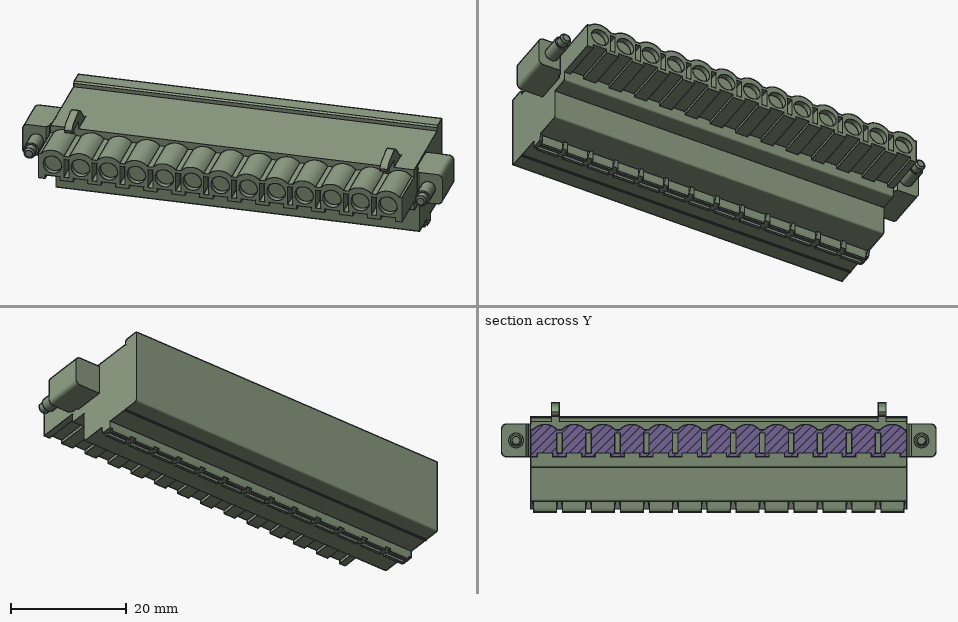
import cadquery as cq
import math

POLES = 13
LENGTH = 75.1
BODY_LENGTH = 65.0
PITCH = BODY_LENGTH / POLES
HALF_BODY = BODY_LENGTH / 2

DEPTH = 26.6
BODY_FRONT = 8.2
STEP_FRONT = 11.6
STEP_HEIGHT = 5.85
BODY_HEIGHT = 13.75
LIP_HEIGHT = 14.65
LIP_DEPTH = 3.15
LIP_BEVEL_RUN = 0.45
LIP_BEVEL_DROP = 0.2
EDGE_FILLET = 0.3

WIRE_AXIS = 10.5
WIRE_HOLE_DIAMETER = 3.3
WIRE_HOLE_DEPTH = 1.05
BARREL_RADIUS = 2.8
BARREL_BOTTOM = 7.65
BARREL_SHOULDER = 12.4
FOOT_NOTCH_WIDTH = 2.6
FOOT_NOTCH_HEIGHT = 0.7
SLOT_WIDTH = 0.9
SLOT_HEIGHT = 3.45
SLOT_DEPTH = 3.0

FLANGE_BACK = 15.9
FLANGE_BOTTOM = 7.65
FLANGE_HEIGHT = 5.7
FLANGE_FILLET = 0.9
RELIEF_WIDTH = 0.4
RELIEF_DEPTH = 1.7
RELIEF_BEVEL_WIDTH = 0.45
RELIEF_BEVEL_DEPTH = 0.7
SCREW_X = (HALF_BODY + LENGTH / 2) / 2
SHANK_DIAMETER = 2.55
SHANK_END = 4.6
TIP_DIAMETER = 1.95
TIP_END = 2.9
TIP_CHAMFER = 0.3

HOOK_X = 28.25
HOOK_WIDTH = 1.35
HOOK_EMBED = 0.4
HOOK_TOP = 17.05
HOOK_UNDERSIDE = 15.1
HOOK_BARB_BOTTOM = 14.65
HOOK_BARB_BACK = 5.1
HOOK_BARB_FRONT = 4.5
HOOK_ROOT = (13.2, BODY_HEIGHT)
HOOK_ROOT_MIDDLE = (12.5, BODY_HEIGHT + 0.19)
HOOK_RAMP_START = (11.9, BODY_HEIGHT + 0.6)
HOOK_RAMP_END = (9.3, 16.75)
HOOK_CREST_MIDDLE = (9.0, 16.9)
HOOK_CREST_BACK = (8.6, HOOK_TOP)
HOOK_CREST_FRONT = (7.9, HOOK_TOP)
HOOK_NOSE_TOP = (4.95, 16.4)
HOOK_NOSE_MIDDLE = (4.35, 16.1)
HOOK_NOSE_FRONT = (3.8, 15.5)
HOOK_NOSE_BOTTOM = (4.0, 14.95)

RAIL_BACK = 19.1
RAIL_FRONT_TOP = 16.6
RAIL_FRONT_BOTTOM = 17.0
RAIL_DROP = 1.35
KEY_WIDTH = 4.0
WEB_CHAMFER = 0.2
TOOTH_DEPTH = 0.7
TOOTH_DROP = 0.6
TOOTH_TAPER = 0.11
TOOTH_POINT = 0.15

RIDGE_Y = 23.35
RIDGE_WIDTH = 0.3
RIDGE_DROP = 0.15


def box(x_min, x_max, y_min, y_max, z_min, z_max):
    return cq.Workplane("XY").box(
        x_max - x_min, y_max - y_min, z_max - z_min, centered=False
    ).translate((x_min, y_min, z_min))


def rod(x, diameter, y_min, y_max):
    """Cylinder along Y at the height of the wire axis."""
    plane = cq.Workplane("XZ", origin=(x, y_max, WIRE_AXIS))
    return plane.circle(diameter / 2).extrude(y_max - y_min)


def side_plane(x):
    """YZ plane whose extrusion runs toward +X, starting at x."""
    return cq.Workplane("YZ", origin=(x, 0, 0))


def pole_x(index):
    return (index - (POLES - 1) / 2) * PITCH


def make_housing():
    lip_front = DEPTH - LIP_DEPTH
    profile = [
        (DEPTH, 0),
        (DEPTH, LIP_HEIGHT),
        (lip_front + LIP_BEVEL_RUN, LIP_HEIGHT),
        (lip_front, LIP_HEIGHT - LIP_BEVEL_DROP),
        (lip_front, BODY_HEIGHT),
        (BODY_FRONT, BODY_HEIGHT),
        (BODY_FRONT, STEP_HEIGHT),
        (STEP_FRONT, STEP_HEIGHT),
        (STEP_FRONT, 0),
    ]
    housing = side_plane(-HALF_BODY).polyline(profile).close().extrude(BODY_LENGTH)
    rounded_corners = [(DEPTH, 0), (BODY_FRONT, STEP_HEIGHT), (STEP_FRONT, 0)]
    for y, z in rounded_corners:
        corner = cq.selectors.NearestToPointSelector((0, y, z))
        housing = housing.edges("|X").edges(corner).fillet(EDGE_FILLET)
    return housing


def make_barrel(x):
    half_chord = math.sqrt(BARREL_RADIUS**2 - (BARREL_SHOULDER - WIRE_AXIS) ** 2)
    half_pitch = PITCH / 2
    outline = (
        cq.Workplane("XZ", origin=(x, BODY_FRONT, 0))
        .moveTo(-half_pitch, BARREL_BOTTOM)
        .lineTo(-half_pitch, BARREL_SHOULDER)
        .lineTo(-half_chord, BARREL_SHOULDER)
        .threePointArc((0, WIRE_AXIS + BARREL_RADIUS), (half_chord, BARREL_SHOULDER))
        .lineTo(half_pitch, BARREL_SHOULDER)
        .lineTo(half_pitch, BARREL_BOTTOM)
        .close()
    )
    barrel = outline.extrude(BODY_FRONT)
    half_notch = FOOT_NOTCH_WIDTH / 2
    notch_top = BARREL_BOTTOM + FOOT_NOTCH_HEIGHT
    notch = box(x - half_notch, x + half_notch, 0, BODY_FRONT, BARREL_BOTTOM, notch_top)
    return barrel.cut(notch).cut(rod(x, WIRE_HOLE_DIAMETER, 0, WIRE_HOLE_DEPTH))


def make_slot(x):
    """Blind slot in the wire-entry face, centred between two poles."""
    bottom = BARREL_BOTTOM + FOOT_NOTCH_HEIGHT
    half_width = SLOT_WIDTH / 2
    return box(x - half_width, x + half_width, 0, SLOT_DEPTH, bottom, bottom + SLOT_HEIGHT)


def make_flange():
    """Flange and captive screw on the +X end."""
    relief_x = HALF_BODY + RELIEF_WIDTH
    relief_y = BODY_FRONT + RELIEF_DEPTH
    arc_offset = RELIEF_WIDTH * math.sqrt(0.5)
    flange = (
        cq.Workplane("XY", origin=(0, 0, FLANGE_BOTTOM))
        .moveTo(HALF_BODY, FLANGE_BACK)
        .lineTo(LENGTH / 2, FLANGE_BACK)
        .lineTo(LENGTH / 2, BODY_FRONT)
        .lineTo(relief_x + RELIEF_BEVEL_WIDTH, BODY_FRONT)
        .lineTo(relief_x, BODY_FRONT + RELIEF_BEVEL_DEPTH)
        .lineTo(relief_x, relief_y - RELIEF_WIDTH)
        .threePointArc(
            (HALF_BODY + arc_offset, relief_y - RELIEF_WIDTH + arc_offset),
            (HALF_BODY, relief_y),
        )
        .close()
        .extrude(FLANGE_HEIGHT)
    )
    flange = flange.faces(">X").edges("|Y").fillet(FLANGE_FILLET)
    shank = rod(SCREW_X, SHANK_DIAMETER, SHANK_END, BODY_FRONT)
    tip = rod(SCREW_X, TIP_DIAMETER, TIP_END, SHANK_END).faces("<Y").chamfer(TIP_CHAMFER)
    return flange.union(shank).union(tip)


def make_hook(x):
    """Latch hook rising from the top and reaching forward over the barrels."""
    return (
        side_plane(x - HOOK_WIDTH / 2)
        .moveTo(HOOK_ROOT[0], BODY_HEIGHT - HOOK_EMBED)
        .lineTo(*HOOK_ROOT)
        .threePointArc(HOOK_ROOT_MIDDLE, HOOK_RAMP_START)
        .lineTo(*HOOK_RAMP_END)
        .threePointArc(HOOK_CREST_MIDDLE, HOOK_CREST_BACK)
        .lineTo(*HOOK_CREST_FRONT)
        .lineTo(*HOOK_NOSE_TOP)
        .threePointArc(HOOK_NOSE_MIDDLE, HOOK_NOSE_FRONT)
        .lineTo(*HOOK_NOSE_BOTTOM)
        .lineTo(HOOK_BARB_FRONT, HOOK_BARB_BOTTOM)
        .lineTo(HOOK_BARB_BACK, HOOK_BARB_BOTTOM)
        .lineTo(HOOK_BARB_BACK, HOOK_UNDERSIDE)
        .lineTo(BODY_FRONT, HOOK_UNDERSIDE)
        .lineTo(BODY_FRONT, BODY_HEIGHT - HOOK_EMBED)
        .close()
        .extrude(HOOK_WIDTH)
    )


def make_rail():
    """Rail with a sloped front, running the whole length of the underside."""
    profile = [
        (RAIL_BACK, 0),
        (RAIL_BACK, -RAIL_DROP),
        (RAIL_FRONT_BOTTOM, -RAIL_DROP),
        (RAIL_FRONT_TOP, 0),
    ]
    return side_plane(-HALF_BODY).polyline(profile).close().extrude(BODY_LENGTH)


def make_key_window(x):
    """Cutter that makes the rail front upright at one pole, leaving bevelled webs beside it."""
    half_back = KEY_WIDTH / 2
    half_front = half_back + WEB_CHAMFER
    plan = [
        (x - half_front, RAIL_FRONT_TOP),
        (x - half_back, RAIL_FRONT_BOTTOM),
        (x + half_back, RAIL_FRONT_BOTTOM),
        (x + half_front, RAIL_FRONT_TOP),
    ]
    return cq.Workplane("XY", origin=(0, 0, -RAIL_DROP)).polyline(plan).close().extrude(RAIL_DROP)


def make_tooth(x, y_min):
    """Tapered, pointed tooth hanging below the rail at one pole."""
    y_max = y_min + TOOTH_DEPTH
    tip = -RAIL_DROP - TOOTH_DROP
    profile = [
        (y_min, -RAIL_DROP),
        (y_min + TOOTH_TAPER, tip + TOOTH_POINT),
        ((y_min + y_max) / 2, tip),
        (y_max - TOOTH_TAPER, tip + TOOTH_POINT),
        (y_max, -RAIL_DROP),
    ]
    return side_plane(x - KEY_WIDTH / 2).polyline(profile).close().extrude(KEY_WIDTH)


def make_ridge():
    half_width = RIDGE_WIDTH / 2
    return box(-HALF_BODY, HALF_BODY, RIDGE_Y - half_width, RIDGE_Y + half_width, -RIDGE_DROP, 0)


rail = make_rail()
for pole in range(POLES):
    rail = rail.cut(make_key_window(pole_x(pole)))

result = make_housing().union(rail).union(make_ridge())
for pole in range(POLES):
    result = result.union(make_barrel(pole_x(pole)))
    for tooth_front in (RAIL_FRONT_BOTTOM, RAIL_BACK - TOOTH_DEPTH):
        result = result.union(make_tooth(pole_x(pole), tooth_front))
for gap in range(POLES - 1):
    result = result.cut(make_slot(pole_x(gap) + PITCH / 2))
flange = make_flange()
result = result.union(flange).union(flange.mirror("YZ"))
for hook_x in (-HOOK_X, HOOK_X):
    result = result.union(make_hook(hook_x))